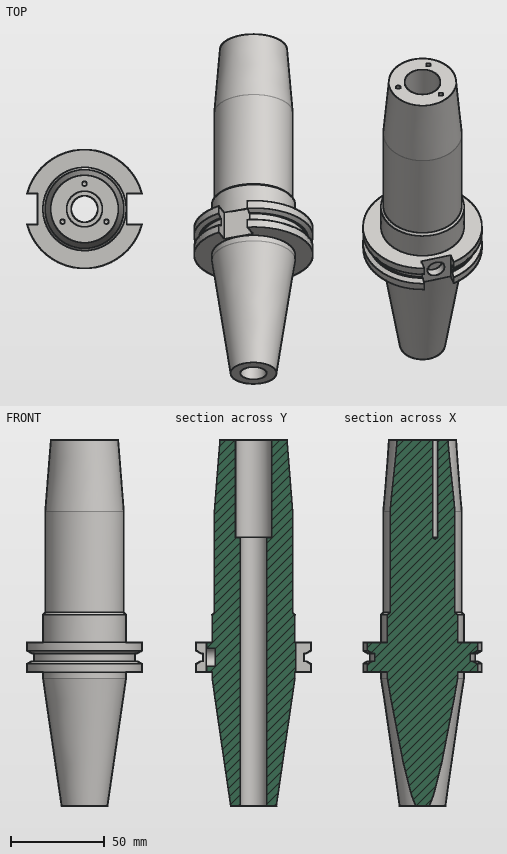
import cadquery as cq
import math


gauge_diameter = 44.45
taper_ratio = 7 / 24
taper_length = 68.25
taper_tip_diameter = gauge_diameter - taper_ratio * taper_length

flange_diameter = 63.5
flange_bottom = 3.175
flange_top = 19.05
flange_middle = (flange_bottom + flange_top) / 2
groove_root_diameter = 56.36
groove_mouth_width = 7.0
groove_half_angle = math.radians(30)
groove_root_width = 4.0
groove_flank_depth = (groove_mouth_width - groove_root_width) / 2 / math.tan(groove_half_angle)
groove_shoulder_diameter = flange_diameter - 2 * groove_flank_depth

slot_width = 16.38
left_slot_floor = 25.1
right_slot_floor = 22.6

side_hole_diameter = 9.525
side_hole_depth = 4.6

nose_height = 127.0
nose_diameter = 36.0
body_diameter = 42.0
body_top = 89.0
body_bottom = 35.0
collar_diameter = gauge_diameter
collar_chamfer = (collar_diameter - body_diameter) / 2

shank_bore_diameter = 19.05
shank_bore_depth = 52.0
through_bore_diameter = 14.0

coolant_hole_count = 3
coolant_hole_diameter = 2.5
coolant_circle_radius = 13.5
coolant_hole_depth = shank_bore_depth
drill_point_half_angle = math.radians(59)
first_coolant_angle = 90.0


def turned_body():
    """Revolve the outer contour, from taper tip to nose."""
    groove_mouth_half = groove_mouth_width / 2
    groove_root_half = groove_root_width / 2
    contour = [
        (taper_tip_diameter, -taper_length),
        (gauge_diameter, 0),
        (gauge_diameter, flange_bottom),
        (flange_diameter, flange_bottom),
        (flange_diameter, flange_middle - groove_mouth_half),
        (groove_shoulder_diameter, flange_middle - groove_root_half),
        (groove_root_diameter, flange_middle - groove_root_half),
        (groove_root_diameter, flange_middle + groove_root_half),
        (groove_shoulder_diameter, flange_middle + groove_root_half),
        (flange_diameter, flange_middle + groove_mouth_half),
        (flange_diameter, flange_top),
        (collar_diameter, flange_top),
        (collar_diameter, body_bottom - collar_chamfer),
        (body_diameter, body_bottom),
        (body_diameter, body_top),
        (nose_diameter, nose_height),
    ]
    half_section = [(diameter / 2, height) for diameter, height in contour]
    half_section = [(0, -taper_length)] + half_section + [(0, nose_height)]
    return cq.Workplane("XZ").polyline(half_section).close().revolve(360, (0, 0), (0, 1))


def drive_slot(floor_distance, side):
    """Block that clears one drive slot; side is -1 for -X and +1 for +X."""
    slot_depth = flange_diameter / 2 - floor_distance
    return (
        cq.Workplane("XY")
        .box(slot_depth, slot_width, flange_top - flange_bottom)
        .translate((side * (floor_distance + slot_depth / 2), 0, flange_middle))
    )


def side_hole():
    """Radial blind hole, entering from the floor of the left slot."""
    return (
        cq.Workplane("YZ", origin=(-left_slot_floor, 0, flange_middle))
        .circle(side_hole_diameter / 2)
        .extrude(side_hole_depth)
    )


def axial_bores():
    """Bore right through the holder, widened at the nose for the tool shank."""
    through_bore = (
        cq.Workplane("XY", origin=(0, 0, -taper_length))
        .circle(through_bore_diameter / 2)
        .extrude(taper_length + nose_height)
    )
    shank_bore = (
        cq.Workplane("XY", origin=(0, 0, nose_height))
        .circle(shank_bore_diameter / 2)
        .extrude(-shank_bore_depth)
    )
    return through_bore.union(shank_bore)


def coolant_holes():
    """Blind drilled holes parallel to the axis, evenly spaced around the shank bore."""
    radius = coolant_hole_diameter / 2
    point_length = radius / math.tan(drill_point_half_angle)
    drill_half_section = [
        (0, 0),
        (radius, 0),
        (radius, -coolant_hole_depth),
        (0, -coolant_hole_depth - point_length),
    ]
    drill = cq.Workplane("XZ").polyline(drill_half_section).close().revolve(360, (0, 0), (0, 1)).val()
    return (
        cq.Workplane("XY", origin=(0, 0, nose_height))
        .polarArray(coolant_circle_radius, first_coolant_angle, 360, coolant_hole_count)
        .eachpoint(lambda place: drill.moved(place))
    )


result = (
    turned_body()
    .cut(drive_slot(left_slot_floor, -1))
    .cut(drive_slot(right_slot_floor, 1))
    .cut(side_hole())
    .cut(axial_bores())
    .cut(coolant_holes())
)